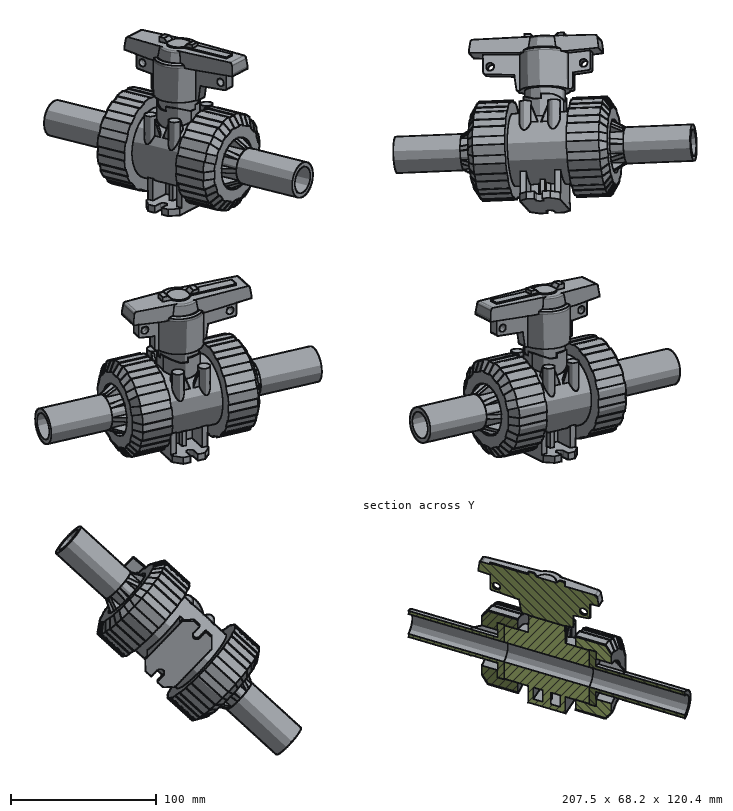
import cadquery as cq
import math


overall_length = 207.5
overall_height = 120.43
pipe_radius = 12.6
pipe_root_radius = 12.4
bore_radius = 9.3
tail_rib_count = 8
tail_rib_thickness = 3.2
tail_rib_start_x = 57.0
tail_rib_slope = 0.54

nut_inner_x = 21.5
nut_outer_x = 48.75
nut_cone_x = 44.2
nut_radius = 34.25
nut_face_radius = 27.3
nut_hole_radius = 18.4
nut_lip_x = 37.0
nut_groove_count = 16
nut_groove_width = 5.9
nut_groove_depth = 0.85
nut_groove_clear_radius = 40.0

barrel_radius = 25.0
tail_flange_thickness = 5.0
barrel_half_length = nut_lip_x - tail_flange_thickness
body_half_width = 14.1

neck_radius = 15.0
stem_radius = 14.0
stem_top_z = 40.5
cam_high_z = 35.6
cam_low_z = 32.4
cam_low_run = 5.0
cam_ramp_end = 13.0
cam_count = 4

post_radius = 4.2
post_x = 10.0
post_y = 19.3
post_top_z = 29.3
gusset_thickness = 2.0
gusset_slope = 2.47
side_gusset_y = 19.2
side_gusset_tip_x = 1.0
side_gusset_tip_z = 14.5
inner_gusset_x = 11.9
inner_gusset_tip_y = 12.8
inner_gusset_tip_z = 21.5

foot_bottom_z = -40.0
foot_thickness = 5.0
foot_half_depth = 24.3
foot_corner = 5.8
foot_slot_width = 5.5
foot_slot_centre_y = 18.2
stand_half_depth = 16.5
stand_plate_thickness = 4.2
stand_web_thickness = 2.0
stand_column_radius = 4.4
stand_rib_thickness = 3.2
stand_rib_half_depth = 9.0

hub_radius = 17.3
hub_rim_z = 66.1
rim_slope_radius = 16.9
rim_slope_z = 67.5
shoulder_z = 68.7
shoulder_radius = 15.2
crown_base_radius = 14.7
crown_top_radius = 13.3
crown_fillet = 1.2

bar_back_x = -39.0
bar_front_x = 51.5
bar_middle_z = 65.8
bar_end_z = 67.4
bar_top_z = 76.9
bar_end_half_width = 9.4
bar_middle_half_width = 12.0
bar_draft = 6.0
bar_trim = 2.0
bar_end_slope_z = 69.2
bar_end_lean = 1.08
bar_end_round = 2.0

button_radius = 8.0
button_top_z = 77.9
tab_width = 6.8
strip_width = 7.3
tab_top_z = foot_bottom_z + overall_height
tab_inner_x = 7.2
tab_slope_x = 9.7
tab_outer_x = 13.7
strip_end_x = 42.6

grip_thickness = 7.6
grip_back_x = -32.5
grip_front_x = 42.6
grip_bottom_z = 53.4
grip_step_z = 52.0
grip_leg_back_x = -20.0
grip_leg_top_x = 20.9
grip_leg_bottom_x = 19.2
grip_corner_round = 1.6
grip_hole_radius = 2.7
grip_hole_z = 58.4
grip_hole_xs = (-27.6, 37.7)


def x_cylinder(radius, start_x, end_x):
    return cq.Workplane("YZ", origin=(start_x, 0, 0)).circle(radius).extrude(end_x - start_x)


def z_cylinder(radius, bottom_z, top_z, x=0, y=0):
    return cq.Workplane("XY", origin=(x, y, bottom_z)).circle(radius).extrude(top_z - bottom_z)


def block(half_x, half_y, bottom_z, top_z):
    height = top_z - bottom_z
    return cq.Workplane("XY", origin=(0, 0, bottom_z)).rect(2 * half_x, 2 * half_y).extrude(height)


def xz_plate(points, thickness, middle_y=0):
    """Flat plate with an outline in X and Z, centred on middle_y."""
    plate = cq.Workplane("XZ").polyline(points).close().extrude(thickness / 2, both=True)
    return plate.translate((0, middle_y, 0))


def yz_plate(points, thickness, middle_x=0):
    """Flat plate with an outline in Y and Z, centred on middle_x."""
    plate = cq.Workplane("YZ").polyline(points).close().extrude(thickness / 2, both=True)
    return plate.translate((middle_x, 0, 0))


def make_nut():
    """Union nut on the +X side, with flat-bottomed grip grooves along rim and cone."""
    profile = [
        (nut_inner_x, barrel_radius),
        (nut_inner_x, nut_radius),
        (nut_cone_x, nut_radius),
        (nut_outer_x, nut_face_radius),
        (nut_outer_x, nut_hole_radius),
        (nut_lip_x, nut_hole_radius),
        (nut_lip_x, barrel_radius),
    ]
    nut = cq.Workplane("XY").polyline(profile).close().revolve(360, (0, 0, 0), (1, 0, 0))

    groove_profile = [
        (nut_inner_x, nut_radius - nut_groove_depth),
        (nut_cone_x, nut_radius - nut_groove_depth),
        (nut_outer_x, nut_face_radius - nut_groove_depth),
        (nut_outer_x, nut_groove_clear_radius),
        (nut_inner_x, nut_groove_clear_radius),
    ]
    groove = xz_plate(groove_profile, nut_groove_width)
    for i in range(nut_groove_count):
        nut = nut.cut(groove.rotate((0, 0, 0), (1, 0, 0), i * 360 / nut_groove_count))
    return nut


def make_tailpiece():
    """Pipe end on the +X side, with a flange inside the nut and tapered ribs on a slimmer root."""
    pipe = x_cylinder(pipe_radius, tail_rib_start_x, overall_length / 2)
    root = x_cylinder(pipe_root_radius, barrel_half_length, tail_rib_start_x)
    flange = x_cylinder(barrel_radius, barrel_half_length, nut_lip_x)

    rib_full_x = tail_rib_start_x - (nut_hole_radius - pipe_root_radius) / tail_rib_slope
    rib_profile = [
        (barrel_half_length, 0),
        (tail_rib_start_x, 0),
        (tail_rib_start_x, pipe_root_radius),
        (rib_full_x, nut_hole_radius),
        (barrel_half_length, nut_hole_radius),
    ]
    rib = xz_plate(rib_profile, tail_rib_thickness)
    ribs = cq.Workplane("XY")
    for i in range(tail_rib_count):
        ribs = ribs.add(rib.rotate((0, 0, 0), (1, 0, 0), i * 360 / tail_rib_count))
    ribs = ribs.combine()
    ribs = ribs.intersect(x_cylinder(nut_hole_radius, barrel_half_length, tail_rib_start_x))

    bore = x_cylinder(bore_radius, 0, overall_length)
    return pipe.union(root).union(flange).union(ribs).cut(bore)


def make_neck():
    """Stem housing with flat X sides and four stepped cam ramps around its upper ledge."""
    neck = z_cylinder(neck_radius, 0, cam_high_z)
    neck = neck.intersect(block(body_half_width, neck_radius, 0, cam_high_z))
    cam_profile = [
        (0, cam_low_z),
        (-cam_low_run, cam_low_z),
        (-cam_ramp_end, cam_high_z),
        (0, cam_high_z),
    ]
    cam_cut = cq.Workplane("XZ").polyline(cam_profile).close().extrude(neck_radius)
    for i in range(cam_count):
        neck = neck.cut(cam_cut.rotate((0, 0, 0), (0, 0, 1), i * 360 / cam_count))
    return neck.union(z_cylinder(stem_radius, 0, stem_top_z))


def make_post():
    """Round post at +X +Y with one gusset along X and one along Y."""
    post = z_cylinder(post_radius, 0, post_top_z, post_x, post_y)

    side_rise = (post_x - post_radius - side_gusset_tip_x) * gusset_slope
    side_gusset = xz_plate(
        [
            (post_x, 0),
            (side_gusset_tip_x, 0),
            (side_gusset_tip_x, side_gusset_tip_z),
            (post_x - post_radius, side_gusset_tip_z + side_rise),
            (post_x, side_gusset_tip_z + side_rise),
        ],
        gusset_thickness,
        side_gusset_y,
    )

    chord = math.sqrt(post_radius**2 - (inner_gusset_x - post_x) ** 2)
    inner_rise = (post_y - chord - inner_gusset_tip_y) * gusset_slope
    inner_gusset = yz_plate(
        [
            (post_y, 0),
            (inner_gusset_tip_y, 0),
            (inner_gusset_tip_y, inner_gusset_tip_z),
            (post_y - chord, inner_gusset_tip_z + inner_rise),
            (post_y, inner_gusset_tip_z + inner_rise),
        ],
        gusset_thickness,
        inner_gusset_x,
    )
    return post.union(side_gusset).union(inner_gusset)


def make_stand():
    """Slotted foot joined to the barrel by two plates, a cross web and a ribbed column."""
    foot_top_z = foot_bottom_z + foot_thickness
    foot = block(body_half_width, foot_half_depth, foot_bottom_z, foot_top_z)
    foot = foot.edges("|Z").chamfer(foot_corner)
    for side in (1, -1):
        slot_round = z_cylinder(
            foot_slot_width / 2, foot_bottom_z, foot_top_z, 0, side * foot_slot_centre_y
        )
        slot_mouth = block(
            foot_slot_width / 2, foot_half_depth - foot_slot_centre_y, foot_bottom_z, foot_top_z
        ).translate((0, side * foot_half_depth, 0))
        foot = foot.cut(slot_round).cut(slot_mouth)

    plate = block(stand_plate_thickness / 2, stand_half_depth, foot_top_z, 0)
    plate_x = body_half_width - stand_plate_thickness / 2
    web = block(body_half_width, stand_web_thickness / 2, foot_top_z, 0)
    column = z_cylinder(stand_column_radius, foot_top_z, 0)
    rib = block(stand_rib_thickness / 2, stand_rib_half_depth, foot_top_z, 0)
    stand = foot.union(web).union(column).union(rib)
    for side in (1, -1):
        stand = stand.union(plate.translate((side * plate_x, 0, 0)))
    return stand


def make_body():
    body = x_cylinder(barrel_radius, -barrel_half_length, barrel_half_length)
    body = body.union(make_neck()).union(make_stand())
    post = make_post()
    positive_y_posts = post.union(post.mirror("YZ"))
    body = body.union(positive_y_posts).union(positive_y_posts.mirror("XZ"))
    return body.cut(x_cylinder(bore_radius, -barrel_half_length, barrel_half_length))


def make_hub():
    """Round handle hub with a sloped shoulder and a tapered, rounded crown."""
    profile = [
        (0, stem_top_z),
        (hub_radius, stem_top_z),
        (hub_radius, hub_rim_z),
        (rim_slope_radius, rim_slope_z),
        (shoulder_radius, shoulder_z),
        (crown_base_radius, shoulder_z),
        (crown_top_radius, bar_top_z),
        (0, bar_top_z),
    ]
    hub = cq.Workplane("XZ").polyline(profile).close().revolve(360, (0, 0, 0), (0, 1, 0))
    return hub.faces(">Z").edges().fillet(crown_fillet)


def make_bar():
    """Grip bar with drafted sides, widest at the stem, trimmed to its outline along the length."""
    plan = [
        (bar_back_x - bar_trim, bar_end_half_width),
        (0, bar_middle_half_width),
        (bar_front_x + bar_trim, bar_end_half_width),
        (bar_front_x + bar_trim, -bar_end_half_width),
        (0, -bar_middle_half_width),
        (bar_back_x - bar_trim, -bar_end_half_width),
    ]
    bar = cq.Workplane("XY", origin=(0, 0, bar_middle_z)).polyline(plan).close()
    bar = bar.extrude(bar_top_z - bar_middle_z, taper=bar_draft)

    side_profile = [
        (-hub_radius, bar_middle_z),
        (bar_back_x, bar_end_z),
        (bar_back_x, bar_end_slope_z),
        (bar_back_x + bar_end_lean, bar_top_z),
        (bar_front_x - bar_end_lean, bar_top_z),
        (bar_front_x, bar_end_slope_z),
        (bar_front_x, bar_end_z),
        (hub_radius, bar_middle_z),
    ]
    bar = bar.intersect(xz_plate(side_profile, 2 * bar_middle_half_width))
    return bar.faces(">Z").edges("|Y").fillet(bar_end_round)


def make_grip_web():
    """Flat web under the bar, with a leg beside the hub and a hole near each end."""
    web = xz_plate(
        [
            (grip_back_x, shoulder_z),
            (grip_back_x, grip_bottom_z),
            (grip_leg_back_x, grip_step_z),
            (grip_leg_back_x, stem_top_z),
            (grip_leg_bottom_x, stem_top_z),
            (grip_leg_top_x, grip_step_z),
            (grip_front_x, grip_bottom_z),
            (grip_front_x, shoulder_z),
        ],
        grip_thickness,
    )
    web = web.edges("|Y and (<X or >X)").fillet(grip_corner_round)
    web = web.faces("<Z").edges("|Y").fillet(grip_corner_round)
    for hole_x in grip_hole_xs:
        hole = cq.Workplane("XZ").center(hole_x, grip_hole_z).circle(grip_hole_radius)
        web = web.cut(hole.extrude(grip_thickness, both=True))
    return web


def make_handle():
    handle = make_hub().union(make_bar()).union(make_grip_web())
    handle = handle.union(z_cylinder(button_radius, bar_top_z, button_top_z))

    tab = xz_plate(
        [
            (tab_inner_x, bar_top_z),
            (tab_inner_x, button_top_z),
            (tab_slope_x, tab_top_z),
            (tab_outer_x, tab_top_z),
            (tab_outer_x, bar_top_z),
        ],
        tab_width,
    )
    strip = xz_plate(
        [
            (tab_inner_x, bar_top_z),
            (tab_inner_x, button_top_z),
            (strip_end_x, button_top_z),
            (strip_end_x, bar_top_z),
        ],
        strip_width,
    )
    return handle.union(tab).union(tab.mirror("YZ")).union(strip)


body = make_body()
handle = make_handle()
positive_x_parts = [make_nut(), make_tailpiece()]
end_parts = []
for part in positive_x_parts:
    end_parts.append(part.val())
    end_parts.append(part.mirror("YZ").val())

result = cq.Compound.makeCompound([body.val(), handle.val(), *end_parts])